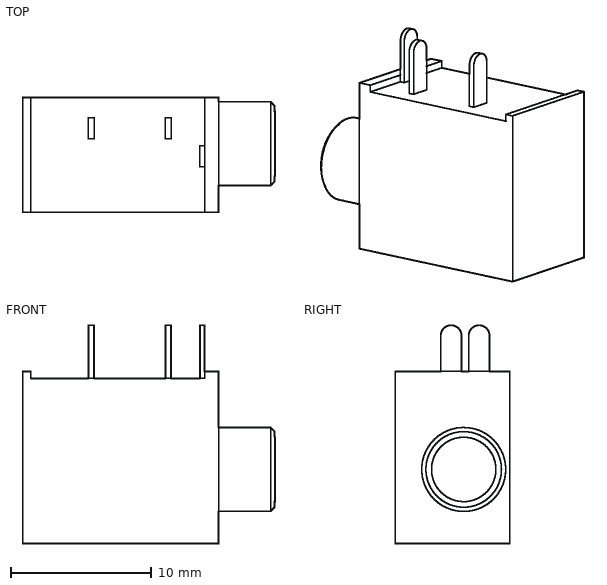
import cadquery as cq

body_length = 14.0
body_width = 8.2
body_height = 12.3
rear_rib = 0.6
front_rib = 1.0
recess_depth = 0.5

bushing_diameter = 6.0
bushing_length = 4.0
bushing_chamfer = 0.3
bushing_y = 0.8
bushing_z = 5.3

lip_diameter = 4.6
lip_height = 0.05

pin_width = 1.5
pin_rise = 3.3
pin_thickness = 0.4
front_pin_thickness = 0.35
pin_row_y = 1.9
front_pin_y = -0.1
rear_pin_offset = 4.9
middle_pin_offset = 10.4

rear_x = -body_length / 2
front_x = body_length / 2
floor_z = body_height - recess_depth
tip_z = body_height + pin_rise
front_pin_x = front_x - front_rib - front_pin_thickness / 2

pins = [
    (rear_x + rear_pin_offset, pin_row_y, pin_thickness),
    (rear_x + middle_pin_offset, pin_row_y, pin_thickness),
    (front_pin_x, front_pin_y, front_pin_thickness),
]


def make_body():
    """Block whose top is recessed between a rear rib and a front rib."""
    outline = [
        (rear_x, 0),
        (front_x, 0),
        (front_x, body_height),
        (front_x - front_rib, body_height),
        (front_x - front_rib, floor_z),
        (rear_x + rear_rib, floor_z),
        (rear_x + rear_rib, body_height),
        (rear_x, body_height),
    ]
    return cq.Workplane("XZ").polyline(outline).close().extrude(body_width / 2, both=True)


def make_bushing():
    """Chamfered cylinder along +X carrying the low end lip."""
    root = cq.Workplane("YZ", origin=(front_x, bushing_y, bushing_z))
    barrel = root.circle(bushing_diameter / 2).extrude(bushing_length)
    barrel = barrel.faces(">X").chamfer(bushing_chamfer)
    lip = root.circle(lip_diameter / 2).extrude(bushing_length + lip_height)
    return barrel.union(lip)


def make_pin(x, y, thickness):
    """Terminal standing on the recess floor, rounded at the top."""
    half_width = pin_width / 2
    shoulder_z = tip_z - half_width
    return (
        cq.Workplane("YZ", origin=(x, y, 0))
        .moveTo(-half_width, floor_z)
        .lineTo(half_width, floor_z)
        .lineTo(half_width, shoulder_z)
        .threePointArc((0, tip_z), (-half_width, shoulder_z))
        .close()
        .extrude(thickness / 2, both=True)
    )


result = make_body().union(make_bushing())
for x, y, thickness in pins:
    result = result.union(make_pin(x, y, thickness))